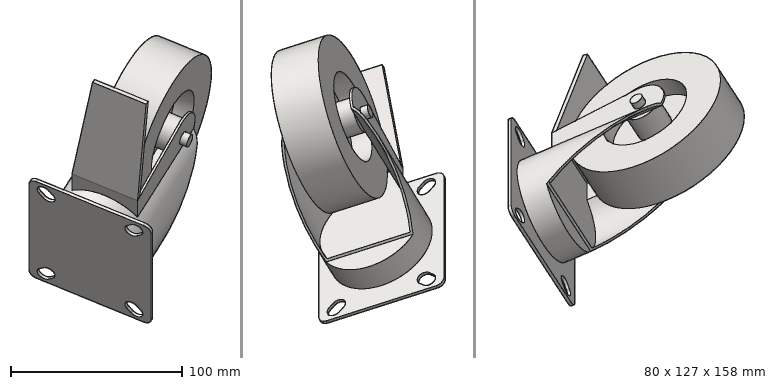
import cadquery as cq
import math


plate_width = 80.0
plate_height = 95.0
plate_thickness = 2.0
plate_corner_radius = 5.0
slot_radius = 4.5
slot_center_spacing = 4.0
slot_x = 28.8
slot_z = 38.9

drum_radius = 32.5
fork_base_y = 19.0

wheel_radius = 50.0
wheel_width = 30.0
wheel_recess_radius = 27.5
wheel_recess_depth = 12.5
hub_radius = 10.9
hub_length = 38.9
axle_radius = 4.0
axle_length = 52.1
overall_depth = 127.0
axle_y = overall_depth - wheel_radius
axle_z = 32.0

fork_width = 43.0
sheet_thickness = 1.5
fork_end_radius = 16.0
fork_base_top_z = 40.6
fork_base_bottom_z = -17.0

lever_tilt = 15.0
lever_thickness = 3.0
lever_tip_width = 35.0
lever_tip_z = 158 - plate_height / 2
lever_length = (lever_tip_z - fork_base_top_z) / math.cos(math.radians(lever_tilt))


def cylinder_along_y(radius, start_y, end_y):
    return cq.Workplane("XZ", origin=(0, start_y, 0)).circle(radius).extrude(start_y - end_y)


def cylinder_along_axle(radius, length):
    """Cylinder on the axle line, centred across the fork."""
    start = cq.Workplane("YZ", origin=(-length / 2, axle_y, axle_z))
    return start.circle(radius).extrude(length)


def make_plate():
    plate = (
        cq.Workplane("XY")
        .box(plate_width, plate_thickness, plate_height)
        .edges("|Y")
        .fillet(plate_corner_radius)
        .translate((0, plate_thickness / 2, 0))
    )
    slot_length = slot_center_spacing + 2 * slot_radius
    for side_x in (-1, 1):
        for side_z in (-1, 1):
            slot = (
                cq.Workplane("XZ")
                .center(side_x * slot_x, side_z * slot_z)
                .slot2D(slot_length, 2 * slot_radius, 45 * side_x * side_z)
                .extrude(-plate_thickness)
            )
            plate = plate.cut(slot)
    return plate


def fork_end_tangent(base_z, side):
    """Point (y, z) where the edge from the fork base touches the rounded end.

    side is +1 for the upper edge and -1 for the lower edge.
    """
    to_base_y = fork_base_y - axle_y
    to_base_z = base_z - axle_z
    base_direction = math.atan2(to_base_z, to_base_y)
    half_angle = math.acos(fork_end_radius / math.hypot(to_base_y, to_base_z))
    angle = base_direction - side * half_angle
    return (
        axle_y + fork_end_radius * math.cos(angle),
        axle_z + fork_end_radius * math.sin(angle),
    )


def make_fork_outline():
    """Side outline of the fork arms, through the full width of the drum."""
    return (
        cq.Workplane("YZ")
        .moveTo(fork_base_y, fork_base_bottom_z)
        .lineTo(*fork_end_tangent(fork_base_bottom_z, -1))
        .threePointArc(
            (axle_y + fork_end_radius, axle_z),
            fork_end_tangent(fork_base_top_z, 1),
        )
        .lineTo(fork_base_y, fork_base_top_z)
        .close()
        .extrude(drum_radius, both=True)
    )


def make_fork_section(inset, start_y):
    """Round lower part with flat cheeks rising from it, inset from the outer skin."""
    radius = drum_radius - inset
    half_width = fork_width / 2 - inset
    cheek_z = math.sqrt(radius**2 - half_width**2)
    top_z = axle_z + fork_end_radius
    return (
        cq.Workplane("XZ", origin=(0, start_y, 0))
        .moveTo(half_width, top_z)
        .lineTo(half_width, cheek_z)
        .threePointArc((0, -radius), (-half_width, cheek_z))
        .lineTo(-half_width, top_z)
        .close()
        .extrude(start_y - overall_depth)
    )


def make_fork():
    outer = make_fork_section(0, fork_base_y)
    cavity = make_fork_section(sheet_thickness, fork_base_y + sheet_thickness)
    axle_hole = cylinder_along_axle(axle_radius, axle_length)
    return outer.cut(cavity).intersect(make_fork_outline()).cut(axle_hole)


def make_lever():
    lever = (
        cq.Workplane("XZ")
        .moveTo(-fork_width / 2, 0)
        .lineTo(fork_width / 2, 0)
        .lineTo(lever_tip_width / 2, lever_length)
        .lineTo(-lever_tip_width / 2, lever_length)
        .close()
        .extrude(-lever_thickness)
    )
    return lever.rotate((0, 0, 0), (1, 0, 0), -lever_tilt).translate((0, fork_base_y, fork_base_top_z))


def make_frame():
    drum = cylinder_along_y(drum_radius, plate_thickness, fork_base_y)
    return make_plate().union(drum).union(make_fork()).union(make_lever())


def make_wheel():
    """Wheel with recessed faces, a long hub and axle stubs that pass through the fork."""
    tyre = cylinder_along_axle(wheel_radius, wheel_width)
    recesses = cylinder_along_axle(wheel_recess_radius, wheel_width).cut(
        cylinder_along_axle(wheel_recess_radius, wheel_width - 2 * wheel_recess_depth)
    )
    hub = cylinder_along_axle(hub_radius, hub_length)
    axle = cylinder_along_axle(axle_radius, axle_length)
    return tyre.cut(recesses).union(hub).union(axle)


frame = make_frame()
wheel = make_wheel()
result = cq.Compound.makeCompound([frame.val(), wheel.val()])